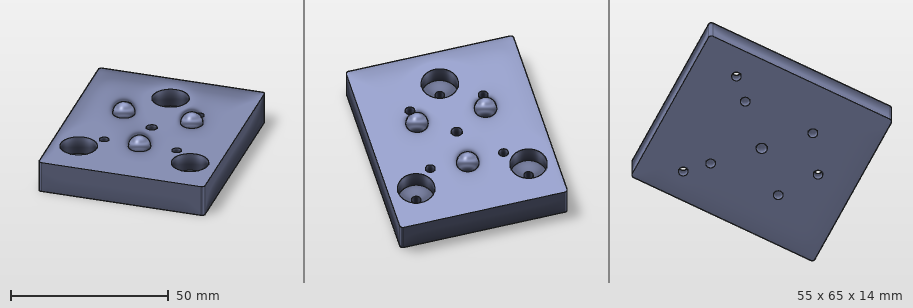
import cadquery as cq
import math

width = 55.0
length = 65.0
total_height = 14.0
corner_radius = 1.05

dome_radius = 3.6
dome_circle_radius = 13.0
dome_angles = (30, 150, 270)
thickness = total_height - dome_radius

center_hole_diameter = 3.5
corner_hole_diameter = 3.05
corner_hole_spacing = 24.05

screw_hole_diameter = 3.0
counterbore_diameter = 11.8
counterbore_depth = 6.0
rear_screw_y = 20.0
front_screw_offset = 18.45
screw_points = [
    (0, rear_screw_y),
    (-front_screw_offset, -front_screw_offset),
    (front_screw_offset, -front_screw_offset),
]


def make_plate():
    plate = cq.Workplane("XY").box(width, length, thickness, centered=(True, True, False))
    return plate.edges("|Z").fillet(corner_radius)


def cut_holes(plate):
    top = plate.faces(">Z").workplane(origin=(0, 0, thickness))
    plate = top.hole(center_hole_diameter)
    top = plate.faces(">Z").workplane(origin=(0, 0, thickness))
    plate = top.rect(corner_hole_spacing, corner_hole_spacing, forConstruction=True).vertices().hole(
        corner_hole_diameter
    )
    top = plate.faces(">Z").workplane(origin=(0, 0, thickness))
    return top.pushPoints(screw_points).cboreHole(
        screw_hole_diameter, counterbore_diameter, counterbore_depth
    )


def make_dome(angle):
    x = dome_circle_radius * math.cos(math.radians(angle))
    y = dome_circle_radius * math.sin(math.radians(angle))
    dome = cq.Workplane("XY").sphere(dome_radius, angle1=0, angle2=90)
    return dome.translate((x, y, thickness))


result = cut_holes(make_plate())
for dome_angle in dome_angles:
    result = result.union(make_dome(dome_angle))